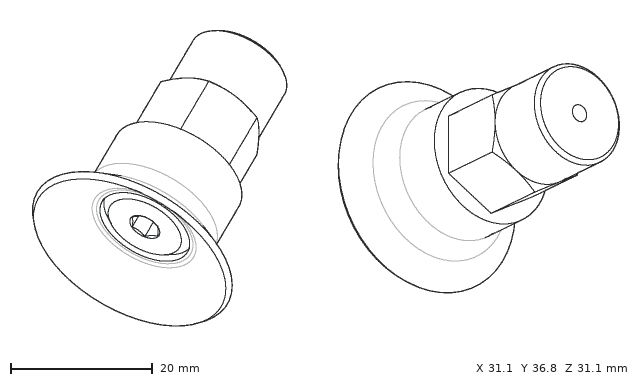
import cadquery as cq
import math

length = 36.8

rim_diameter = 31.15
lip_diameter = 29.95
rim_height = 0.9
body_diameter = 20.0
body_end = 15.97
flare_radius = 5.0
flare_start = 7.85
flare_angle = math.radians(50.5)

floor_depth = 5.0
floor_diameter = 15.0
floor_round_diameter = 16.2
floor_round_rise = 0.22
recess_diameter = 14.0
head_face_diameter = 11.4
head_bevel = (recess_diameter - head_face_diameter) / 2

shank_diameter = 14.98
shank_chamfer = 0.63
hex_flats = shank_diameter
hex_end = 26.95
hex_chamfer_angle = math.radians(30)

socket_flats = 3.95
socket_depth = 6.0
socket_mouth_diameter = 4.67
socket_chamfer_angle = math.radians(30)
passage_diameter = 2.5


def hex_corner_diameter(flats):
    return flats / math.cos(math.pi / 6)


def hex_prism(flats, start, end):
    """Hexagonal bar along +Y with two corners on the Z axis."""
    return (
        cq.Workplane("XZ", origin=(0, start, 0))
        .transformed(rotate=(0, 0, 90))
        .polygon(6, hex_corner_diameter(flats))
        .extrude(start - end)
    )


def turned(profile):
    """Revolve a closed (radius, y) profile about the Y axis."""
    return profile.close().revolve(360, (0, 0, 0), (0, 1, 0))


def cylinder(diameter, start, end):
    return cq.Workplane("XZ", origin=(0, start, 0)).circle(diameter / 2).extrude(start - end)


def cone(start_diameter, start, end_diameter, end):
    return turned(
        cq.Workplane("XY")
        .moveTo(0, start)
        .lineTo(start_diameter / 2, start)
        .lineTo(end_diameter / 2, end)
        .lineTo(0, end)
    )


def make_cup():
    """Flared cup with the bevelled screw head sunk flush in its floor."""
    body_radius = body_diameter / 2

    def on_flare_round(angle):
        return (
            body_radius + flare_radius * (1 - math.cos(angle)),
            flare_start - flare_radius * math.sin(angle),
        )

    floor_round_end = (floor_round_diameter / 2, floor_depth - floor_round_rise)
    return turned(
        cq.Workplane("XY")
        .moveTo(0, body_end)
        .lineTo(body_radius, body_end)
        .lineTo(body_radius, flare_start)
        .threePointArc(on_flare_round(flare_angle / 2), on_flare_round(flare_angle))
        .lineTo(rim_diameter / 2, rim_height)
        .lineTo(lip_diameter / 2, 0)
        .lineTo(*floor_round_end)
        .tangentArcPoint((floor_diameter / 2, floor_depth), relative=False)
        .lineTo(recess_diameter / 2, floor_depth)
        .lineTo(recess_diameter / 2, floor_depth + head_bevel)
        .lineTo(head_face_diameter / 2, floor_depth)
        .lineTo(0, floor_depth)
    )


def make_hexagon():
    """Wrench hexagon, its far corners turned down to the shank diameter."""
    corner_diameter = hex_corner_diameter(hex_flats)
    chamfer_height = (corner_diameter - hex_flats) / 2 * math.tan(hex_chamfer_angle)
    chamfer_start = hex_end - chamfer_height
    envelope = cylinder(corner_diameter, body_end, chamfer_start).union(
        cone(corner_diameter, chamfer_start, hex_flats, hex_end)
    )
    return hex_prism(hex_flats, body_end, hex_end).intersect(envelope)


def make_shank():
    return cylinder(shank_diameter, body_end, length).faces(">Y").chamfer(shank_chamfer)


def make_socket():
    """Hexagon socket with a chamfered mouth and a conical bottom leading to the passage."""
    socket_end = floor_depth + socket_depth
    chamfer_depth = (socket_mouth_diameter - socket_flats) / 2 * math.tan(socket_chamfer_angle)
    corner_diameter = hex_corner_diameter(socket_flats)
    bottom_depth = (corner_diameter - passage_diameter) / 2 * math.tan(socket_chamfer_angle)
    bottom_end = socket_end + bottom_depth
    envelope = cylinder(corner_diameter, floor_depth, socket_end).union(
        cone(corner_diameter, socket_end, passage_diameter, bottom_end)
    )
    return (
        hex_prism(socket_flats, floor_depth, bottom_end)
        .intersect(envelope)
        .union(cone(socket_mouth_diameter, floor_depth, socket_flats, floor_depth + chamfer_depth))
        .union(cylinder(passage_diameter, floor_depth, length))
    )


result = make_cup().union(make_shank()).union(make_hexagon()).cut(make_socket())